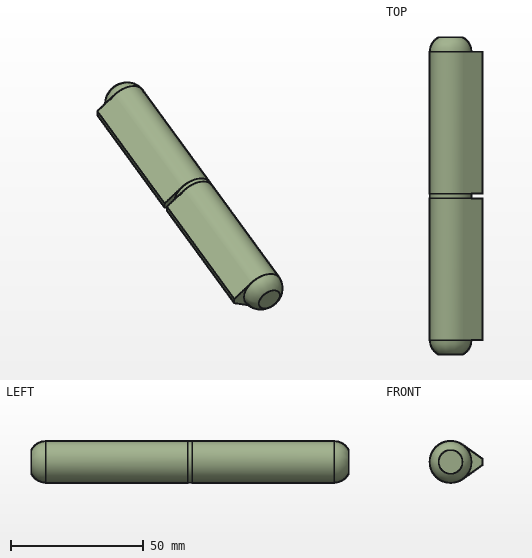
import cadquery as cq
import math

total_length = 120.0
knuckle_diameter = 16.0
overall_width = 20.0
tip_half_height = 1.2

collar_diameter = 15.8
collar_thickness = 1.8

cap_diameter = collar_diameter
cap_flat_diameter = 9.0
cap_height = 5.5

knuckle_radius = knuckle_diameter / 2
tip_x = overall_width - knuckle_radius
knuckle_length = (total_length - collar_thickness) / 2 - cap_height
knuckle_start = collar_thickness / 2
knuckle_end = knuckle_start + knuckle_length


def make_knuckle():
    """Teardrop prism on the +Y half, its flanks tangent to the barrel."""
    tip_angle = math.atan2(tip_half_height, tip_x)
    tip_distance = math.hypot(tip_x, tip_half_height)
    tangent_angle = tip_angle + math.acos(knuckle_radius / tip_distance)
    tangent_x = knuckle_radius * math.cos(tangent_angle)
    tangent_z = knuckle_radius * math.sin(tangent_angle)
    return (
        cq.Workplane("XZ", origin=(0, knuckle_start, 0))
        .moveTo(tip_x, -tip_half_height)
        .lineTo(tip_x, tip_half_height)
        .lineTo(tangent_x, tangent_z)
        .threePointArc((-knuckle_radius, 0), (tangent_x, -tangent_z))
        .close()
        .extrude(-knuckle_length)
    )


def make_cap():
    """Domed end with a flat face; the dome starts parallel to the axis."""
    base_radius = cap_diameter / 2
    flat_radius = cap_flat_diameter / 2
    inset = base_radius - flat_radius
    dome_radius = (inset**2 + cap_height**2) / (2 * inset)
    dome_center = base_radius - dome_radius
    half_sweep = math.asin(cap_height / dome_radius) / 2
    dome_middle = (
        dome_center + dome_radius * math.cos(half_sweep),
        knuckle_end + dome_radius * math.sin(half_sweep),
    )
    return (
        cq.Workplane("XY")
        .moveTo(0, knuckle_end)
        .lineTo(base_radius, knuckle_end)
        .threePointArc(dome_middle, (flat_radius, knuckle_end + cap_height))
        .lineTo(0, knuckle_end + cap_height)
        .close()
        .revolve(360, (0, 0, 0), (0, 1, 0))
    )


collar = cq.Workplane("XZ").circle(collar_diameter / 2).extrude(collar_thickness / 2, both=True)
half_hinge = make_knuckle().union(make_cap())
result = collar.union(half_hinge).union(half_hinge.mirror("XZ"))